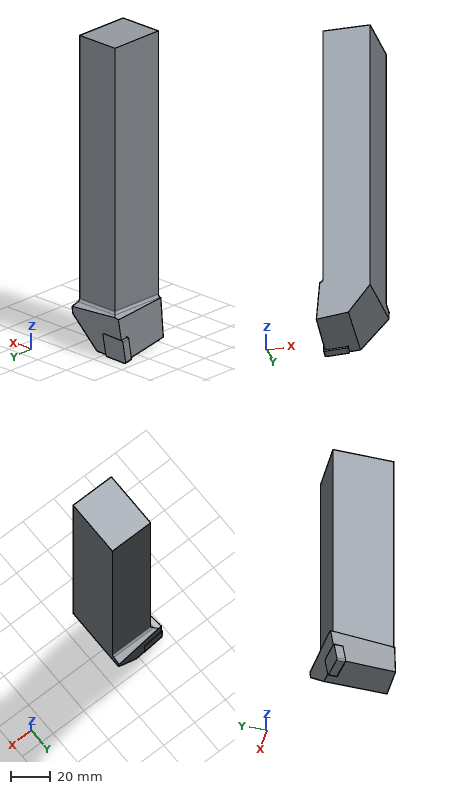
import cadquery as cq
import math

TOTAL_LENGTH = 171.4
SHANK_WIDTH = 24.8
SHANK_DEPTH = 32.0

SHOULDER_Z = 25.7
SHOULDER_ANGLE = 16.0
SHOULDER_FILLET = 1.5
SELECTION_MARGIN = 0.2
RELIEF_Z = 20.2
RELIEF_RUN = 8.3
RELIEF_RISE = 10.5
HEAD_REACH = 42.8
HEAD_DEPTH = 37.5

RAKE_SLOPE = 0.1
CORNER_X = -31.5
CORNER_Z = 0.9
END_SLOPE = 0.09

NOSE_ANGLE = 80.0
INSERT_EDGE = 12.9
INSERT_THICKNESS = 4.8
NOSE_RADIUS = 0.9
INSERT_OVERHANG = 0.9

SHOULDER_DROP = HEAD_REACH * math.tan(math.radians(SHOULDER_ANGLE))


def rake_plane():
    """Plane on the rake face at the head corner; local X follows the end edge, Z goes into the head."""
    rake_top_z = SHOULDER_Z - (HEAD_DEPTH - SHANK_DEPTH) * math.tan(math.radians(SHOULDER_ANGLE))
    corner_y = HEAD_DEPTH + RAKE_SLOPE * (CORNER_X + CORNER_Z - rake_top_z)
    return cq.Plane(
        origin=(CORNER_X, corner_y, CORNER_Z),
        xDir=(1, RAKE_SLOPE * (1 + END_SLOPE), END_SLOPE),
        normal=(RAKE_SLOPE, -1, RAKE_SLOPE),
    )


def rhombus_prism(edge, thickness, overhang):
    """Prism below the rake face with its sharp corner pushed out past both head flanks by overhang."""
    angle = math.radians(NOSE_ANGLE)
    lean_x = edge * math.cos(angle)
    lean_y = edge * math.sin(angle)
    corner_x = -overhang * (1 + math.cos(angle)) / math.sin(angle)
    corner_y = -overhang
    return (
        cq.Workplane(rake_plane())
        .moveTo(corner_x, corner_y)
        .lineTo(corner_x + edge, corner_y)
        .lineTo(corner_x + edge + lean_x, corner_y + lean_y)
        .lineTo(corner_x + lean_x, corner_y + lean_y)
        .close()
        .extrude(thickness)
    )


def make_shank():
    return cq.Workplane("XY", origin=(0, 0, SHOULDER_Z)).box(
        SHANK_WIDTH, SHANK_DEPTH, TOTAL_LENGTH - SHOULDER_Z, centered=False
    ).translate((-SHANK_WIDTH, 0, 0))


def make_head():
    relief_bottom_x = -RELIEF_Z * RELIEF_RUN / RELIEF_RISE
    left_x = -SHANK_WIDTH - HEAD_REACH
    front_outline = (
        cq.Workplane("XZ")
        .polyline([
            (0, SHOULDER_Z),
            (0, RELIEF_Z),
            (relief_bottom_x, 0),
            (left_x, 0),
            (left_x, SHOULDER_Z - SHOULDER_DROP),
            (-SHANK_WIDTH, SHOULDER_Z),
        ])
        .close()
        .extrude(-HEAD_REACH)
    )
    back_y = SHANK_DEPTH + HEAD_REACH
    side_outline = (
        cq.Workplane("YZ")
        .polyline([
            (0, 0),
            (0, SHOULDER_Z),
            (SHANK_DEPTH, SHOULDER_Z),
            (back_y, SHOULDER_Z - SHOULDER_DROP),
            (back_y, 0),
        ])
        .close()
        .extrude(left_x)
    )
    flanks = rhombus_prism(2 * HEAD_REACH, 2 * HEAD_REACH, 0)
    return front_outline.intersect(side_outline).intersect(flanks)


def make_insert():
    blank = rhombus_prism(INSERT_EDGE, INSERT_THICKNESS, INSERT_OVERHANG)
    side_corners = cq.selectors.ParallelDirSelector(rake_plane().zDir)
    return blank.edges(side_corners).fillet(NOSE_RADIUS)


def make_holder(insert):
    body = make_shank().union(make_head())
    inner_edges = cq.selectors.BoxSelector(
        (-SHANK_WIDTH - SELECTION_MARGIN, -SELECTION_MARGIN, SHOULDER_Z - SELECTION_MARGIN),
        (SELECTION_MARGIN, SHANK_DEPTH + SELECTION_MARGIN, SHOULDER_Z + SELECTION_MARGIN),
    )
    body = body.edges(inner_edges).fillet(SHOULDER_FILLET)
    return body.cut(insert)


insert = make_insert()
holder = make_holder(insert)
result = cq.Compound.makeCompound([holder.solids().val(), insert.val()])